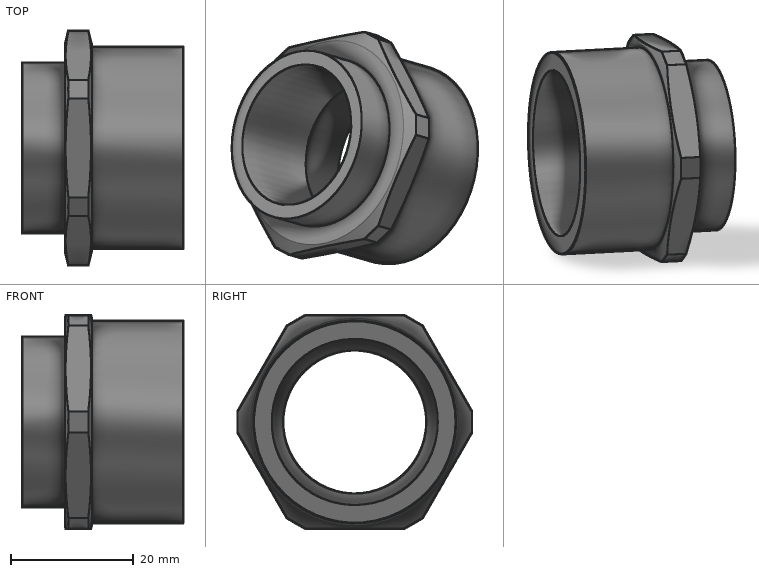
import cadquery as cq
import math

spigot_length = 7.0
collar_width = 4.4
socket_length = 15.0
collar_start = spigot_length
collar_end = collar_start + collar_width
total_length = collar_end + socket_length

spigot_diameter = 28.0
socket_diameter = 33.2
socket_end_chamfer = 0.1

across_flats = 35.0
across_cut_corners = 38.41
bevel_face_diameter = 34.0
bevel_angle = 14.0

bore_diameter = 23.4
counterbore_diameter = 27.2
flare_start = 16.0
flare_length = (counterbore_diameter - bore_diameter) / 2
flare_end = flare_start + flare_length


def cylinder(diameter, start, length):
    """Cylinder along +X beginning at X = start."""
    return cq.Workplane("YZ", origin=(start, 0, 0)).circle(diameter / 2).extrude(length)


def revolve_about_x(outline):
    """Solid of revolution about the X axis from (x, radius) points."""
    return cq.Workplane("XY").polyline(outline).close().revolve(360, (0, 0, 0), (1, 0, 0))


def hexagonal_prism(flat_to_flat, turn):
    """Hexagonal prism as wide as the collar, turned about X; at 0 two flats face +Z and -Z."""
    across_corners = flat_to_flat / math.cos(math.radians(30))
    prism = (
        cq.Workplane("YZ", origin=(collar_start, 0, 0))
        .polygon(6, across_corners)
        .extrude(collar_width)
    )
    return prism.rotate((0, 0, 0), (1, 0, 0), turn)


def hexagonal_collar():
    """Hexagon with flat-cut corners and a shallow conical bevel on both faces."""
    face_radius = bevel_face_diameter / 2
    rim_radius = face_radius + collar_width / 2 / math.tan(math.radians(bevel_angle))
    bevel_cones = revolve_about_x(
        [
            (collar_start, 0),
            (collar_start, face_radius),
            (collar_start + collar_width / 2, rim_radius),
            (collar_end, face_radius),
            (collar_end, 0),
        ]
    )
    main_hexagon = hexagonal_prism(across_flats, 0)
    corner_hexagon = hexagonal_prism(across_cut_corners, 30)
    return main_hexagon.intersect(corner_hexagon).intersect(bevel_cones)


def socket_body():
    """Outer cylinder of the socket, with its free edge broken."""
    body = cylinder(socket_diameter, collar_end, socket_length)
    return body.faces(">X").edges().chamfer(socket_end_chamfer)


def stepped_bore():
    """Through hole: bore, 45-degree flare and counterbore."""
    bore_radius = bore_diameter / 2
    counterbore_radius = counterbore_diameter / 2
    return revolve_about_x(
        [
            (0, 0),
            (0, bore_radius),
            (flare_start, bore_radius),
            (flare_end, counterbore_radius),
            (total_length, counterbore_radius),
            (total_length, 0),
        ]
    )


spigot_body = cylinder(spigot_diameter, 0, spigot_length)
outer_body = spigot_body.union(hexagonal_collar()).union(socket_body())

result = outer_body.cut(stepped_bore())